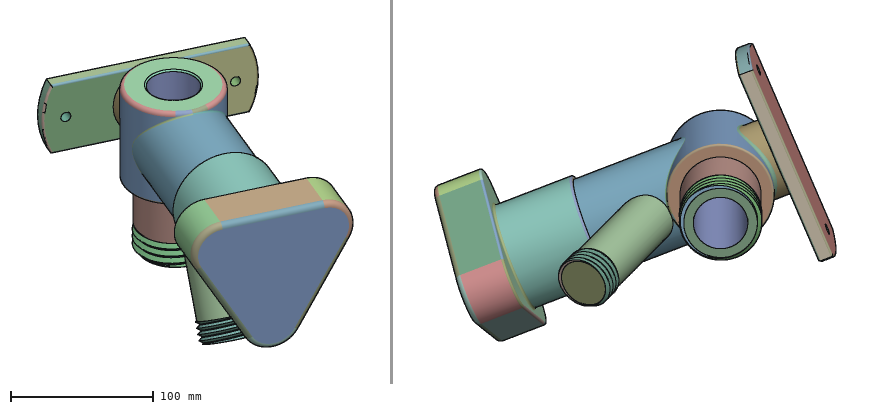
import cadquery as cq
import math

HUB_RADIUS = 37.8
HUB_HALF_HEIGHT = 38.0
HUB_TOP_FILLET = 3.2
HUB_BOTTOM_FILLET = 1.5
BORE_RADIUS = 19.2
BORE_RIM_CHAMFER = 1.2

PLATE_BACK_X = -55.0
PLATE_THICKNESS = 11.0
PLATE_WIDTH = 163.5
PLATE_FLAT_WIDTH = 149.8
PLATE_HEIGHT = 56.7
PLATE_EDGE_FILLET = 1.5
SCREW_HOLE_SPACING = 128.1
SCREW_HOLE_RADIUS = 3.7
STUB_RADIUS = PLATE_HEIGHT / 2
STUB_FILLET = 2.7

ARM_RADIUS = 35.8
ARM_END_X = 97.3
ARM_FILLET = 1.2

OVERALL_LENGTH = 248.8
SLEEVE_RADIUS = 38.8
SLEEVE_RIM_FILLET = 1.5
KNOB_THICKNESS = 37.0
KNOB_END_X = PLATE_BACK_X + OVERALL_LENGTH
KNOB_START_X = KNOB_END_X - KNOB_THICKNESS
KNOB_CORNER_RADIUS = 22.6
KNOB_CORNER_SPACING = 77.1
KNOB_INNER_FILLET = 1.7
KNOB_OUTER_FILLET = 4.2
SLEEVE_KNOB_FILLET = 1.7

INLET_RADIUS = 28.5
INLET_CORE_RADIUS = 25.9
INLET_CREST_RADIUS = 29.0
INLET_SHOULDER = 76.1
INLET_END = 96.8
INLET_PITCH = 6.0
INLET_CREST_OFFSET = 5.0

SPOUT_TILT = 30.0
SPOUT_ROOT_X = 39.0
SPOUT_RADIUS = 19.0
SPOUT_CORE_RADIUS = 17.5
SPOUT_CREST_RADIUS = 20.0
SPOUT_SHOULDER = 113.5
SPOUT_END = 130.0
SPOUT_PITCH = 4.5
SPOUT_CREST_OFFSET = 4.2

THREAD_BASE_SHARE = 0.85
THREAD_ROOT_SHARE = 0.12
THREAD_OVERRUN = 2

TOLERANCE = 0.002

INLET_PLANE = cq.Plane(origin=(0, 0, 0), xDir=(1, 0, 0), normal=(0, 0, -1))
tilt = math.radians(SPOUT_TILT)
SPOUT_PLANE = cq.Plane(
    origin=(SPOUT_ROOT_X, 0, 0),
    xDir=(math.cos(tilt), 0, math.sin(tilt)),
    normal=(math.sin(tilt), 0, -math.cos(tilt)),
)


def rod(plane, radius, start, end):
    """Round bar along the normal of a plane, between two distances from its origin."""
    return cq.Workplane(plane).workplane(offset=start).circle(radius).extrude(end - start)


def along_x(x):
    """YZ plane at a given X, with its local axes along +Y and +Z."""
    return cq.Plane(origin=(x, 0, 0), xDir=(0, 1, 0), normal=(1, 0, 0))


def make_plate():
    half_flat = PLATE_FLAT_WIDTH / 2
    half_width = PLATE_WIDTH / 2
    half_height = PLATE_HEIGHT / 2
    plate = (
        cq.Workplane(along_x(PLATE_BACK_X))
        .moveTo(-half_flat, half_height)
        .lineTo(half_flat, half_height)
        .threePointArc((half_width, 0), (half_flat, -half_height))
        .lineTo(-half_flat, -half_height)
        .threePointArc((-half_width, 0), (-half_flat, half_height))
        .close()
        .extrude(PLATE_THICKNESS)
    )
    plate = plate.faces("<X or >X").edges().fillet(PLATE_EDGE_FILLET)
    holes = (
        cq.Workplane(along_x(PLATE_BACK_X))
        .pushPoints([(-SCREW_HOLE_SPACING / 2, 0), (SCREW_HOLE_SPACING / 2, 0)])
        .circle(SCREW_HOLE_RADIUS)
        .extrude(PLATE_THICKNESS)
    )
    return plate.cut(holes)


def make_hub():
    """Hub with the plate stub and the arm grown into its sides."""
    hub = cq.Workplane("XY").circle(HUB_RADIUS).extrude(HUB_HALF_HEIGHT, both=True)
    hub = hub.union(rod(along_x(0), STUB_RADIUS, PLATE_BACK_X + PLATE_THICKNESS, 0))
    hub = hub.union(rod(along_x(0), ARM_RADIUS, 0, ARM_END_X))

    joints = [edge for edge in hub.edges().vals() if edge.geomType() == "BSPLINE"]
    stub_joint = [edge for edge in joints if edge.Center().x < 0]
    arm_joint = [edge for edge in joints if edge.Center().x > 0]
    hub = hub.newObject(stub_joint).fillet(STUB_FILLET)
    hub = hub.newObject(arm_joint).fillet(ARM_FILLET)

    hub = hub.faces(">Z").edges().fillet(HUB_TOP_FILLET)
    return hub.faces("<Z").edges().fillet(HUB_BOTTOM_FILLET)


def make_bore():
    """Through bore of hub and inlet pipe, flared at the top rim."""
    bore = rod(cq.Plane.XY(), BORE_RADIUS, -INLET_END, HUB_HALF_HEIGHT)
    rim = cq.Solid.makeCone(
        BORE_RADIUS,
        BORE_RADIUS + BORE_RIM_CHAMFER,
        BORE_RIM_CHAMFER,
        pnt=cq.Vector(0, 0, HUB_HALF_HEIGHT - BORE_RIM_CHAMFER),
    )
    return bore.union(cq.Workplane(rim))


def make_housing():
    housing = make_hub().union(make_plate())
    housing = housing.union(rod(INLET_PLANE, INLET_RADIUS, 0, INLET_SHOULDER))
    housing = housing.union(rod(INLET_PLANE, INLET_CORE_RADIUS, 0, INLET_END))
    housing = housing.union(rod(SPOUT_PLANE, SPOUT_RADIUS, 0, SPOUT_SHOULDER))
    housing = housing.union(rod(SPOUT_PLANE, SPOUT_CORE_RADIUS, 0, SPOUT_END))
    return housing.cut(make_bore())


def make_handle():
    """Sleeve against the arm end, with a knob shaped as a rounded equilateral triangle."""
    half_side = KNOB_CORNER_SPACING / 2
    top_corner_z = half_side / math.sqrt(3)
    bottom_corner_z = -2 * top_corner_z
    knob = (
        cq.Workplane(along_x(KNOB_START_X))
        .polyline([(-half_side, top_corner_z), (half_side, top_corner_z), (0, bottom_corner_z)])
        .close()
        .offset2D(KNOB_CORNER_RADIUS)
        .extrude(KNOB_THICKNESS)
    )
    knob = knob.faces("<X").edges().fillet(KNOB_INNER_FILLET)
    knob = knob.faces(">X").edges().fillet(KNOB_OUTER_FILLET)

    handle = knob.union(rod(along_x(0), SLEEVE_RADIUS, ARM_END_X, KNOB_START_X))
    handle = handle.faces("<X").edges().fillet(SLEEVE_RIM_FILLET)
    joint_circles = [
        edge
        for edge in handle.edges("%CIRCLE").vals()
        if math.isclose(edge.radius(), SLEEVE_RADIUS, abs_tol=TOLERANCE)
        and math.isclose(edge.Center().x, KNOB_START_X, abs_tol=TOLERANCE)
    ]
    return handle.newObject(joint_circles).fillet(SLEEVE_KNOB_FILLET)


def make_thread(plane, core_radius, crest_radius, start, end, pitch, crest_offset):
    """Triangular right-hand ridge around a pipe core, trimmed flush at both ends.

    On the local +X side a crest lies at crest_offset before the end.
    """
    pitches_before_end = math.ceil((end - start) / pitch) + THREAD_OVERRUN
    first_crest = end - crest_offset - pitches_before_end * pitch
    last_crest = end + THREAD_OVERRUN * pitch
    root_radius = core_radius - (crest_radius - core_radius) * THREAD_ROOT_SHARE
    half_root = pitch * THREAD_BASE_SHARE / 2 * (1 + THREAD_ROOT_SHARE)
    ridge_path = cq.Wire.makeHelix(pitch, last_crest - first_crest, root_radius)
    ridge = (
        cq.Workplane("XZ")
        .polyline([(root_radius, -half_root), (crest_radius, 0), (root_radius, half_root)])
        .close()
        .sweep(cq.Workplane(ridge_path), isFrenet=True)
    )
    ridge = ridge.translate((0, 0, first_crest))
    core = rod(cq.Plane.XY(), core_radius, first_crest - pitch, last_crest + pitch)
    trim_block = rod(cq.Plane.XY(), crest_radius + pitch, start, end)
    thread = ridge.cut(core).intersect(trim_block)
    return cq.Workplane(thread.solids().val().moved(cq.Location(plane)))


housing = make_housing()
handle = make_handle()
inlet_thread = make_thread(
    INLET_PLANE,
    INLET_CORE_RADIUS,
    INLET_CREST_RADIUS,
    INLET_SHOULDER,
    INLET_END,
    INLET_PITCH,
    INLET_CREST_OFFSET,
)
spout_thread = make_thread(
    SPOUT_PLANE,
    SPOUT_CORE_RADIUS,
    SPOUT_CREST_RADIUS,
    SPOUT_SHOULDER,
    SPOUT_END,
    SPOUT_PITCH,
    SPOUT_CREST_OFFSET,
)
result = cq.Compound.makeCompound(
    [housing.solids().val(), handle.solids().val(), inlet_thread.val(), spout_thread.val()]
)